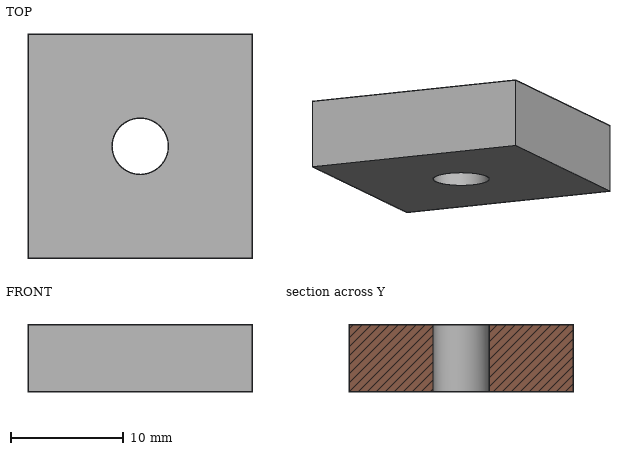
import cadquery as cq

side = 20.0
thickness = 6.0
hole_diameter = 5.0

plate = cq.Workplane("XY").box(side, side, thickness)
result = plate.faces(">Z").workplane().hole(hole_diameter)